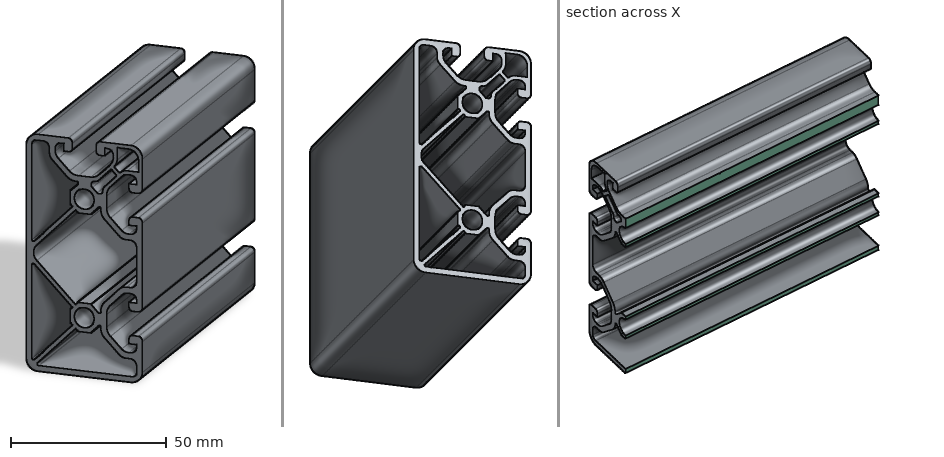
import cadquery as cq
import math

module = 40.0
length = 100.0
half = module / 2
outer_radius = 4.0
wall = 2.0
wall_inside = half - wall

slot_half_width = 4.1
lip_inside = 7.0
lip_end = 15.4
mouth_overcut = 2.0
lip_outer_radius = 1.5
lip_inner_radius = 1.2
pocket_half_width = 10.0
pocket_top_radius = 2.1
pocket_side_radius = 3.4
floor_depth = 7.7
floor_radius = 4.3
flank_offset = 3.8

screw_channel_diameter = 6.8
core_flat = 4.9
core_pad_half_width = 2.4
core_diagonal_flat = 5.0
core_diagonal_sum = core_diagonal_flat * math.sqrt(2)
core_pad_base = core_diagonal_sum - core_pad_half_width

web = 1.5
web_offset = web / math.sqrt(2)
web_root_across = (core_diagonal_sum - web_offset) / 2
web_root_along = (core_diagonal_sum + web_offset) / 2
web_tip_radius = 0.5
web_junction_radius = 3.6
cell_corner_radius = 1.5
cell_slot_radius = 2.2
core_groove_radius = 0.5

thin_wall = 1.3
thin_inside = half - thin_wall
corner_inner_radius = 3.6
bridge_inner_sum = 20.4
bridge_outer_sum = 22.4
bridge_radius = 0.3
small_groove_radius = 1.2
small_bend_radius = 2.0


def prism(vertices):
    """Full-length prism over an outline in XZ; each vertex is (x, z, corner radius)."""
    starts, middles, ends = [], [], []
    for i, (x, z, radius) in enumerate(vertices):
        corner = cq.Vector(x, z)
        before = (cq.Vector(*vertices[i - 1][:2]) - corner).normalized()
        after = (cq.Vector(*vertices[(i + 1) % len(vertices)][:2]) - corner).normalized()
        half_angle = before.getAngle(after) / 2
        setback = radius / math.tan(half_angle)
        bulge = radius / math.sin(half_angle) - radius
        starts.append(corner + before * setback)
        ends.append(corner + after * setback)
        middles.append(corner + (before + after).normalized() * bulge)

    outline = cq.Workplane("XZ").moveTo(ends[-1].x, ends[-1].y)
    for (_, _, radius), start, middle, end in zip(vertices, starts, middles, ends):
        outline = outline.lineTo(start.x, start.y)
        if radius > 0:
            outline = outline.threePointArc((middle.x, middle.y), (end.x, end.y))
    return outline.close().extrude(length / 2, both=True)


def swap(points):
    """Mirror points in the X = Z diagonal, turning an upper slot into a right-hand one."""
    return [(z, x, radius) for x, z, radius in points]


def flip_x(points):
    return [(-x, z, radius) for x, z, radius in points]


def flip_z(points):
    return [(x, -z, radius) for x, z, radius in points]


def slot_flank(thickness):
    """Side and floor corners of an upper slot, moved outward by a wall thickness."""
    offset = flank_offset - thickness * math.sqrt(2)
    side = pocket_half_width + thickness
    floor = floor_depth - thickness
    return [
        (side, side + offset, pocket_side_radius),
        (floor - offset, floor, floor_radius),
    ]


def slot():
    side = [
        (lip_inside, half + mouth_overcut, 0),
        (lip_inside, half, 0),
        (slot_half_width, half, lip_outer_radius),
        (slot_half_width, lip_end, lip_inner_radius),
        (lip_inside, lip_end, 0),
        (lip_inside, wall_inside, 0),
        (pocket_half_width, wall_inside, pocket_top_radius),
    ] + slot_flank(0)
    return side + flip_x(side)[::-1]


def cell_slot_side():
    """Cell boundary along an upper slot, from the outer wall to the groove at the core."""
    floor = floor_depth - wall
    corner = (pocket_half_width + wall, wall_inside, cell_slot_radius)
    groove = (core_diagonal_sum - floor, floor, core_groove_radius)
    return [corner] + slot_flank(wall) + [groove]


def core_side():
    """Raised pad on the left face of the core, stepped above the diagonal faces, top to bottom."""
    upper = [(-core_pad_base, core_pad_half_width, 0), (-core_flat, core_pad_half_width, 0)]
    return upper + flip_z(upper)[::-1]


web_root = (-web_root_along, -web_root_across, 0)
web_end = (-wall_inside, -wall_inside + web_offset, web_tip_radius)


def upper_left_cell():
    corner = (-wall_inside, wall_inside, cell_corner_radius)
    return [corner] + flip_x(cell_slot_side()) + core_side() + [web_root, web_end]


def lower_left_cell():
    lower = core_side() + [web_root, web_end]
    return flip_z([web_root, web_end])[::-1] + lower


def right_slot_to_web():
    """Boundary below a right-hand slot and the core, as far as the lower left web."""
    slot_side = flip_z(swap(cell_slot_side()))
    core_bottom = swap(core_side())
    return slot_side + core_bottom + swap([web_root])


def bottom_cell():
    left_corner = swap([web_end])
    right_corner = [(wall_inside, -wall_inside, cell_corner_radius)]
    return right_slot_to_web() + left_corner + right_corner


def middle_cell():
    """Cell between both modules, symmetric about the lower edge of the upper module."""
    upper = right_slot_to_web()
    lower = [(x, -module - z, radius) for x, z, radius in upper][::-1]
    junction = (-half + web_offset, -half, web_junction_radius)
    return upper + [junction] + lower


def bridge_corner(bridge_sum):
    """Corner of a hollow where the bridge face X + Z = bridge_sum meets the thin upper slot flank."""
    offset = flank_offset - thin_wall * math.sqrt(2)
    return ((bridge_sum - offset) / 2, (bridge_sum + offset) / 2, bridge_radius)


def corner_hollow():
    side, _ = slot_flank(thin_wall)
    tip = bridge_corner(bridge_outer_sum)
    half_outline = [(side[0], thin_inside, 0), side, tip]
    return half_outline + swap(half_outline)[::-1] + [(thin_inside, thin_inside, corner_inner_radius)]


def diagonal_hollow():
    _, (bend_x, floor, _) = slot_flank(thin_wall)
    bend = (bend_x, floor, small_bend_radius)
    groove = (core_diagonal_sum - floor, floor, small_groove_radius)
    half_outline = [bridge_corner(bridge_inner_sum), bend, groove]
    return half_outline + swap(half_outline)[::-1]


result = cq.Workplane("XY").box(module, length, 2 * module).edges("|Y").fillet(outer_radius)

upper_openings = [slot(), swap(slot()), upper_left_cell(), middle_cell(), corner_hollow(), diagonal_hollow()]
lower_openings = [swap(slot()), lower_left_cell(), bottom_cell()]

for centre_z, openings in ((half, upper_openings), (-half, lower_openings)):
    for opening in openings:
        result = result.cut(prism(opening).translate((0, 0, centre_z)))
    screw_channel = cq.Workplane("XZ").circle(screw_channel_diameter / 2).extrude(length / 2, both=True)
    result = result.cut(screw_channel.translate((0, 0, centre_z)))